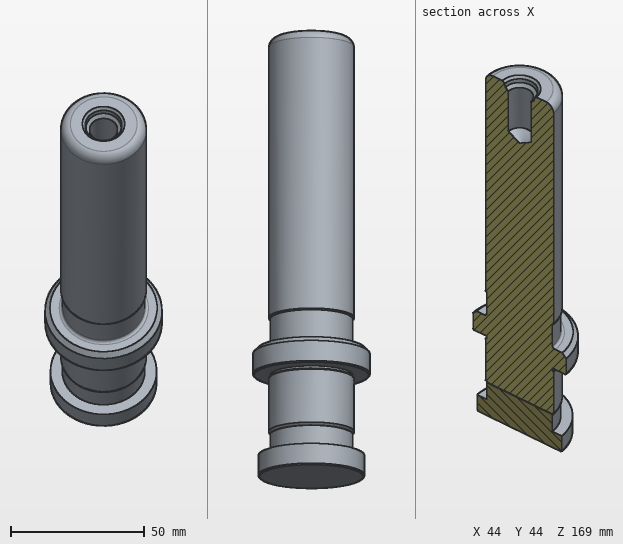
import cadquery as cq
import math

total_height = 169.0
foot_height = 8.1
cap_height = 16.2
collar_bottom = 39.0
collar_top = 49.2
relief_top = 61.2

shaft_radius = 16.0
neck_radius = 15.5
collar_radius = 22.0
foot_radius = 20.0

nose_drop = 3.4
nose_inset = 3.5
nose_radius = 4.0
collar_chamfer = 1.9
small_chamfer = 0.5
shaft_end_chamfer = 1.0
groove_height = 0.8
neck_fillet = 1.2

mouth_radius = 8.0
counterbore_radius = 7.0
counterbore_depth = 2.5
step_radius = 6.6
drill_radius = 5.2
hole_depth = 23.7
mouth_chamfer = mouth_radius - counterbore_radius
step_depth = counterbore_depth + step_radius - drill_radius
drill_half_angle = math.radians(60)
tip_depth = hole_depth + drill_radius / math.tan(drill_half_angle)


def arc_middle(start, end, radius):
    """Middle of the outward-bulging arc that joins two (radius, height) points."""
    dx = end[0] - start[0]
    dz = end[1] - start[1]
    chord = math.hypot(dx, dz)
    sagitta = radius - math.sqrt(radius ** 2 - (chord / 2) ** 2)
    middle_x = (start[0] + end[0]) / 2 + sagitta * dz / chord
    middle_z = (start[1] + end[1]) / 2 - sagitta * dx / chord
    return middle_x, middle_z


def revolve_profile(profile):
    """Turn a closed (radius, height) profile around Z."""
    return profile.close().revolve(360, (0, 0, 0), (0, 1, 0))


def make_center_hole():
    """Chamfered counterbore, conical step and a blind hole with a drill point."""
    profile = (
        cq.Workplane("XZ")
        .moveTo(0, total_height)
        .lineTo(mouth_radius, total_height)
        .lineTo(counterbore_radius, total_height - mouth_chamfer)
        .lineTo(step_radius, total_height - counterbore_depth)
        .lineTo(drill_radius, total_height - step_depth)
        .lineTo(drill_radius, total_height - hole_depth)
        .lineTo(0, total_height - tip_depth)
    )
    return revolve_profile(profile)


def make_pillar():
    """Guide pillar with collar, relieved neck, rounded nose and centre hole."""
    nose_start = (shaft_radius, total_height - nose_drop)
    nose_end = (shaft_radius - nose_inset, total_height)
    fillet_offset = neck_fillet * (1 - math.sqrt(0.5))
    relief_step = shaft_radius - neck_radius
    fit_top = collar_bottom - groove_height
    profile = (
        cq.Workplane("XZ")
        .moveTo(0, cap_height)
        .lineTo(shaft_radius - shaft_end_chamfer, cap_height)
        .lineTo(shaft_radius, cap_height + shaft_end_chamfer)
        .lineTo(shaft_radius, fit_top - relief_step)
        .lineTo(neck_radius, fit_top)
        .lineTo(neck_radius, collar_bottom)
        .lineTo(collar_radius - small_chamfer, collar_bottom)
        .lineTo(collar_radius, collar_bottom + small_chamfer)
        .lineTo(collar_radius, collar_top - collar_chamfer)
        .lineTo(collar_radius - collar_chamfer, collar_top)
        .lineTo(neck_radius + neck_fillet, collar_top)
        .threePointArc(
            (neck_radius + fillet_offset, collar_top + fillet_offset),
            (neck_radius, collar_top + neck_fillet),
        )
        .lineTo(neck_radius, relief_top - relief_step)
        .lineTo(shaft_radius, relief_top)
        .lineTo(*nose_start)
        .threePointArc(arc_middle(nose_start, nose_end, nose_radius), nose_end)
        .lineTo(0, total_height)
    )
    return revolve_profile(profile).cut(make_center_hole())


def make_end_cap():
    """Flanged cap below the pillar, with a plain neck that meets the pillar end."""
    foot = cq.Workplane("XY").circle(foot_radius).extrude(foot_height)
    foot = foot.faces("<Z").edges().chamfer(small_chamfer)
    neck = cq.Workplane("XY").circle(neck_radius).extrude(cap_height)
    return foot.union(neck)


pillar = make_pillar()
end_cap = make_end_cap()

result = cq.Compound.makeCompound([pillar.val(), end_cap.val()])